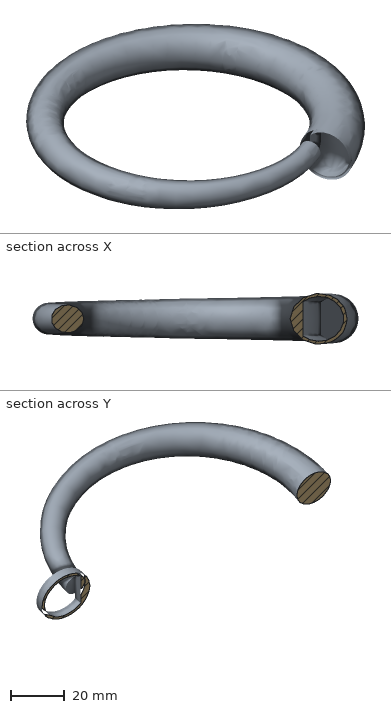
import cadquery as cq
import math

ring_inner_radius = 45.8
mouth_diameter = 21.4
tip_diameter = 8.5
wall = 1.3
quarter_count = 4
quarter_angle = 360 / quarter_count

diameter_step = (mouth_diameter - tip_diameter) / quarter_count
bore_flat_radius = ring_inner_radius + tip_diameter / 2


def ring_point(angle):
    """Point on the inner circle of the ring."""
    turn = math.radians(angle)
    return cq.Vector(ring_inner_radius * math.cos(turn), ring_inner_radius * math.sin(turn), 0)


def section(angle, diameter, inset):
    """Circular section touching the ring's inner circle, reduced by the inset."""
    turn = math.radians(angle)
    outward = cq.Vector(math.cos(turn), math.sin(turn), 0)
    along = cq.Vector(-math.sin(turn), math.cos(turn), 0)
    center = outward * (ring_inner_radius + diameter / 2)
    plane = cq.Plane(origin=center, xDir=-outward, normal=along)
    return cq.Workplane(plane).circle(diameter / 2 - inset).wires().val()


def tapered_quarter(index, inset=0):
    """Quarter turn of the tapered tube, counted from the mouth."""
    start = index * quarter_angle
    end = start + quarter_angle
    start_diameter = mouth_diameter - index * diameter_step
    path = cq.Edge.makeThreePointArc(
        ring_point(start), ring_point((start + end) / 2), ring_point(end)
    )
    sections = [
        section(start, start_diameter, inset),
        section(end, start_diameter - diameter_step, inset),
    ]
    return cq.Workplane(cq.Solid.sweep_multi(sections, cq.Wire.assembleEdges([path])))


ring = tapered_quarter(0)
for quarter in range(1, quarter_count):
    ring = ring.union(tapered_quarter(quarter))

land = (
    cq.Workplane("XY")
    .circle(bore_flat_radius)
    .extrude(mouth_diameter / 2, both=True)
)
bore = tapered_quarter(0, wall).cut(land)

result = ring.cut(bore)